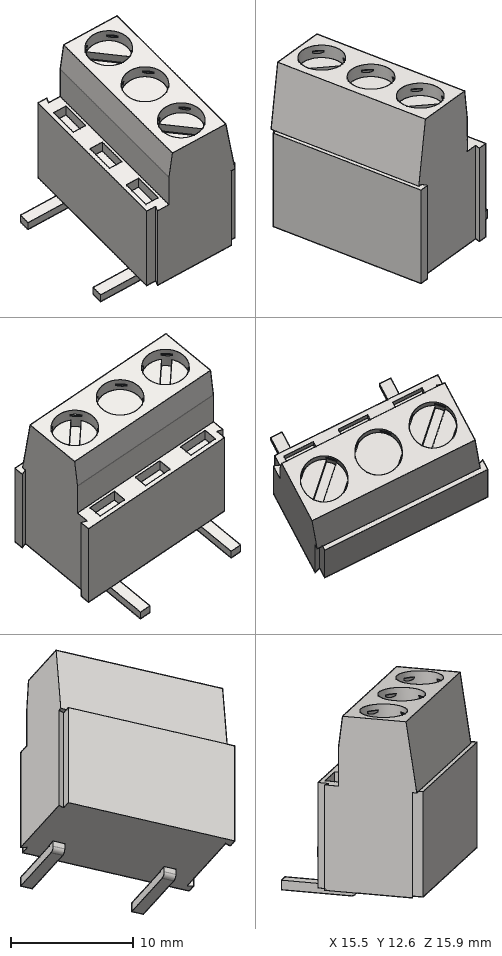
import cadquery as cq

POLES = 3
PITCH = 5.0
PIN_POLES = (0, 2)
SLOTTED_POLES = (0, 2)

BASE_DEPTH = 9.0
BASE_HEIGHT = 9.0
TOTAL_HEIGHT = 15.0
ROW_LENGTH = POLES * PITCH

JOINT_DEPTH = 0.5
JOINT_LIP = 0.92
JOINT_UNDERCUT = 0.19

TOWER_FRONT_Y = 1.9
TOWER_KNEE_Z = 12.3
TOWER_TOP_FRONT_Y = 2.25
TOWER_TOP_BACK_Y = 7.7
TOWER_BACK_Y = 8.62

WELL_Y = 5.0
WELL_RADIUS = 1.95
WELL_DEPTH = 1.2
SLOT_WIDTH = 0.84
SLOT_DEPTH = 0.8
SLOT_ANGLE = 45.0

NUB_COUNT = 4
NUB_TOP_DEPTH = 0.5
NUB_HEIGHT = 0.3
NUB_WIDTH = 0.95
NUB_REACH = 0.12

POCKET_LENGTH = 2.7
POCKET_WIDTH = 1.25
POCKET_FRONT_Y = 0.4
POCKET_DEPTH = 1.07

PIN_WIDTH = 1.05
PIN_THICKNESS = 0.83
PIN_GAP = 0.07
PIN_BACK_Y = 2.8
PIN_TIP_Y = -3.6
PIN_BEND_RADIUS = 0.4
PIN_EMBED = 1.0


def pole_x(index):
    return JOINT_DEPTH + PITCH * (index + 0.5)


def make_base():
    mouth_front = JOINT_LIP
    mouth_back = BASE_DEPTH - JOINT_LIP
    inner_front = mouth_front - JOINT_UNDERCUT
    inner_back = mouth_back + JOINT_UNDERCUT
    tongue_tip_x = ROW_LENGTH + JOINT_DEPTH
    outline = [
        (0, 0),
        (ROW_LENGTH, 0),
        (ROW_LENGTH, mouth_front),
        (tongue_tip_x, inner_front),
        (tongue_tip_x, inner_back),
        (ROW_LENGTH, mouth_back),
        (ROW_LENGTH, BASE_DEPTH),
        (0, BASE_DEPTH),
        (0, mouth_back),
        (JOINT_DEPTH, inner_back),
        (JOINT_DEPTH, inner_front),
        (0, mouth_front),
    ]
    return cq.Workplane("XY").polyline(outline).close().extrude(BASE_HEIGHT)


def make_tower():
    profile = [
        (TOWER_FRONT_Y, BASE_HEIGHT),
        (TOWER_FRONT_Y, TOWER_KNEE_Z),
        (TOWER_TOP_FRONT_Y, TOTAL_HEIGHT),
        (TOWER_TOP_BACK_Y, TOTAL_HEIGHT),
        (TOWER_BACK_Y, BASE_HEIGHT),
    ]
    tower = cq.Workplane("YZ").polyline(profile).close().extrude(ROW_LENGTH)
    return tower.translate((JOINT_DEPTH, 0, 0))


def make_nub():
    """Wedge along +X of the well axis: flat ledge on top, sloping back to the wall below."""
    root_radius = WELL_RADIUS + NUB_REACH
    top_z = TOTAL_HEIGHT - NUB_TOP_DEPTH
    profile = [
        (WELL_RADIUS - NUB_REACH, top_z),
        (root_radius, top_z),
        (root_radius, top_z - NUB_HEIGHT),
        (WELL_RADIUS, top_z - NUB_HEIGHT),
    ]
    return cq.Workplane("XZ").polyline(profile).close().extrude(NUB_WIDTH / 2, both=True)


def make_well(index):
    """Cutting body: screw well with its driver slot, less the retaining nubs."""
    floor_z = TOTAL_HEIGHT - WELL_DEPTH
    well = cq.Workplane("XY", origin=(0, 0, floor_z)).circle(WELL_RADIUS).extrude(WELL_DEPTH)
    for nub in range(NUB_COUNT):
        angle = SLOT_ANGLE + nub * 360.0 / NUB_COUNT
        well = well.cut(make_nub().rotate((0, 0, 0), (0, 0, 1), angle))
    if index in SLOTTED_POLES:
        slot_plane = cq.Workplane("XY", origin=(0, 0, floor_z - SLOT_DEPTH))
        slot = slot_plane.rect(2 * WELL_RADIUS, SLOT_WIDTH).extrude(SLOT_DEPTH)
        slot = slot.rotate((0, 0, 0), (0, 0, 1), SLOT_ANGLE)
        slot = slot.intersect(slot_plane.circle(WELL_RADIUS).extrude(SLOT_DEPTH))
        well = well.union(slot)
    return well.translate((pole_x(index), WELL_Y, 0))


def make_pocket(index):
    center_y = POCKET_FRONT_Y + POCKET_WIDTH / 2
    plane = cq.Workplane("XY", origin=(pole_x(index), center_y, BASE_HEIGHT))
    return plane.rect(POCKET_LENGTH, POCKET_WIDTH).extrude(-POCKET_DEPTH)


def make_pin(index):
    bottom_z = -PIN_GAP - PIN_THICKNESS
    stem_front_y = PIN_BACK_Y - PIN_THICKNESS
    pin = (
        cq.Workplane("YZ")
        .moveTo(PIN_TIP_Y, bottom_z)
        .lineTo(PIN_BACK_Y - PIN_BEND_RADIUS, bottom_z)
        .radiusArc((PIN_BACK_Y, bottom_z + PIN_BEND_RADIUS), -PIN_BEND_RADIUS)
        .lineTo(PIN_BACK_Y, PIN_EMBED)
        .lineTo(stem_front_y, PIN_EMBED)
        .lineTo(stem_front_y, -PIN_GAP)
        .lineTo(PIN_TIP_Y, -PIN_GAP)
        .close()
        .extrude(PIN_WIDTH / 2, both=True)
    )
    return pin.translate((pole_x(index), 0, 0))


result = make_base().union(make_tower())
for pole in range(POLES):
    result = result.cut(make_well(pole)).cut(make_pocket(pole))
for pole in PIN_POLES:
    result = result.union(make_pin(pole))